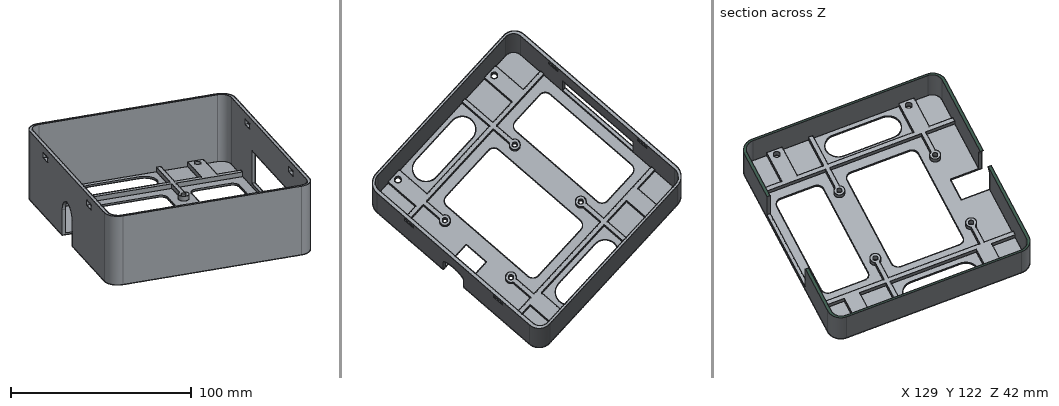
import cadquery as cq

LENGTH = 129.0
WIDTH = 122.0
HEIGHT = 42.0
SIDE_WALL = 1.4
END_WALL = 2.0
FLOOR = 1.2
OUTER_RADIUS = 8.0
INNER_RADIUS = 5.9

INNER_X = LENGTH / 2 - SIDE_WALL
INNER_Y = WIDTH / 2 - END_WALL

RAISED_TOP = 4.0
RIB_WIDTH = 2.6
LONG_RIB_X = 41.2
REAR_ROW_Y = 18.0
MOUNT_Y = 40.0
PAD_WIDTH = 9.3

BOSS_CENTRE_X = -0.5
BOSS_SPACING_X = 49.0
BOSS_DIAMETER = 6.0
BOSS_HOLE = 2.8
BOSS_ROWS = (REAR_ROW_Y, -MOUNT_Y)

MOUNT_X = 59.9
MOUNT_HOLE = 3.7

OPENING_LENGTH = 68.4
OPENING_RADIUS = 4.0
REAR_OPENING_WIDTH = 28.4
REAR_OPENING_Y = 39.0
FRONT_OPENING_WIDTH = 43.2
FRONT_OPENING_Y = -11.1
OVAL_LENGTH = 45.0
OVAL_WIDTH = 15.0
OVAL_X = 53.0
OVAL_Y = (REAR_ROW_Y - RIB_WIDTH / 2 - MOUNT_Y + PAD_WIDTH / 2) / 2

CABLE_WIDTH = 15.0
CABLE_TOP = 23.2
CABLE_NOTCH_Y = -41.9
LATCH_X = 33.0
LATCH_LENGTH = 6.7
LATCH_HEIGHT = 3.1
LATCH_Z = 36.4
WINDOW_LENGTH = 52.1
WINDOW_BOTTOM = 3.1
WINDOW_TOP = 23.1


def box(x_min, x_max, y_min, y_max, z_min, z_max):
    """Axis-aligned block between the given limits."""
    size = (x_max - x_min, y_max - y_min, z_max - z_min)
    return cq.Workplane("XY").box(*size, centered=False).translate((x_min, y_min, z_min))


def boss_x(side):
    """Bosses' X position on one side (-1 or 1) of the floor."""
    return BOSS_CENTRE_X + side * BOSS_SPACING_X / 2


def make_shell():
    outer = cq.Workplane("XY").rect(LENGTH, WIDTH).extrude(HEIGHT).edges("|Z").fillet(OUTER_RADIUS)
    cavity = (
        cq.Workplane("XY").workplane(offset=FLOOR)
        .rect(2 * INNER_X, 2 * INNER_Y).extrude(HEIGHT)
        .edges("|Z").fillet(INNER_RADIUS)
    )
    return outer.cut(cavity)


def cross_bar(side, x_inner, x_outer, y, width):
    """Raised bar along X on one side (-1 or 1) of the floor."""
    x_min, x_max = sorted((side * x_inner, side * x_outer))
    return box(x_min, x_max, y - width / 2, y + width / 2, 0, RAISED_TOP)


def add_raised_features(body):
    for side in (-1, 1):
        rib_x = side * LONG_RIB_X
        boss_reach = abs(boss_x(side))
        body = body.union(
            box(rib_x - RIB_WIDTH / 2, rib_x + RIB_WIDTH / 2, -INNER_Y, INNER_Y, 0, RAISED_TOP)
        )
        for y in (-MOUNT_Y, MOUNT_Y):
            body = body.union(cross_bar(side, LONG_RIB_X, INNER_X, y, PAD_WIDTH))
        body = body.union(cross_bar(side, boss_reach, INNER_X, REAR_ROW_Y, RIB_WIDTH))
        body = body.union(cross_bar(side, boss_reach, LONG_RIB_X, -MOUNT_Y, RIB_WIDTH))
        for y in BOSS_ROWS:
            boss = cq.Workplane("XY").center(boss_x(side), y).circle(BOSS_DIAMETER / 2).extrude(RAISED_TOP)
            body = body.union(boss)
    return body


def cut_screw_holes(body):
    boss_points = [(boss_x(side), y) for side in (-1, 1) for y in BOSS_ROWS]
    mount_points = [(x, y) for x in (-MOUNT_X, MOUNT_X) for y in (-MOUNT_Y, MOUNT_Y)]
    for points, diameter in ((boss_points, BOSS_HOLE), (mount_points, MOUNT_HOLE)):
        holes = cq.Workplane("XY").pushPoints(points).circle(diameter / 2).extrude(RAISED_TOP)
        body = body.cut(holes)
    return body


def cut_floor_openings(body):
    for y, width in ((REAR_OPENING_Y, REAR_OPENING_WIDTH), (FRONT_OPENING_Y, FRONT_OPENING_WIDTH)):
        opening = (
            cq.Workplane("XY").center(0, y).rect(OPENING_LENGTH, width)
            .extrude(FLOOR).edges("|Z").fillet(OPENING_RADIUS)
        )
        body = body.cut(opening)
    ovals = (
        cq.Workplane("XY").pushPoints([(-OVAL_X, OVAL_Y), (OVAL_X, OVAL_Y)])
        .slot2D(OVAL_LENGTH, OVAL_WIDTH, 90).extrude(FLOOR)
    )
    return body.cut(ovals)


def cut_cable_exit(body):
    """Arched doorway in the front wall that continues as a notch in the floor."""
    half = CABLE_WIDTH / 2
    spring_z = CABLE_TOP - half
    doorway = (
        cq.Workplane("XZ", origin=(0, -INNER_Y, 0))
        .moveTo(-half, 0).lineTo(half, 0).lineTo(half, spring_z)
        .threePointArc((0, CABLE_TOP), (-half, spring_z)).close()
        .extrude(END_WALL)
    )
    notch = box(-half, half, -INNER_Y, CABLE_NOTCH_Y, 0, FLOOR)
    return body.cut(doorway).cut(notch)


def cut_wall_openings(body):
    """Latch slots through both end walls and a window in the rear wall."""
    for x in (-LATCH_X, LATCH_X):
        latch = cq.Workplane("XY").box(LATCH_LENGTH, WIDTH, LATCH_HEIGHT).translate((x, 0, LATCH_Z))
        body = body.cut(latch)
    half_window = WINDOW_LENGTH / 2
    window = box(-half_window, half_window, INNER_Y, WIDTH / 2, WINDOW_BOTTOM, WINDOW_TOP)
    return body.cut(window)


enclosure = add_raised_features(make_shell())
enclosure = cut_screw_holes(enclosure)
enclosure = cut_floor_openings(enclosure)
enclosure = cut_cable_exit(enclosure)
result = cut_wall_openings(enclosure)